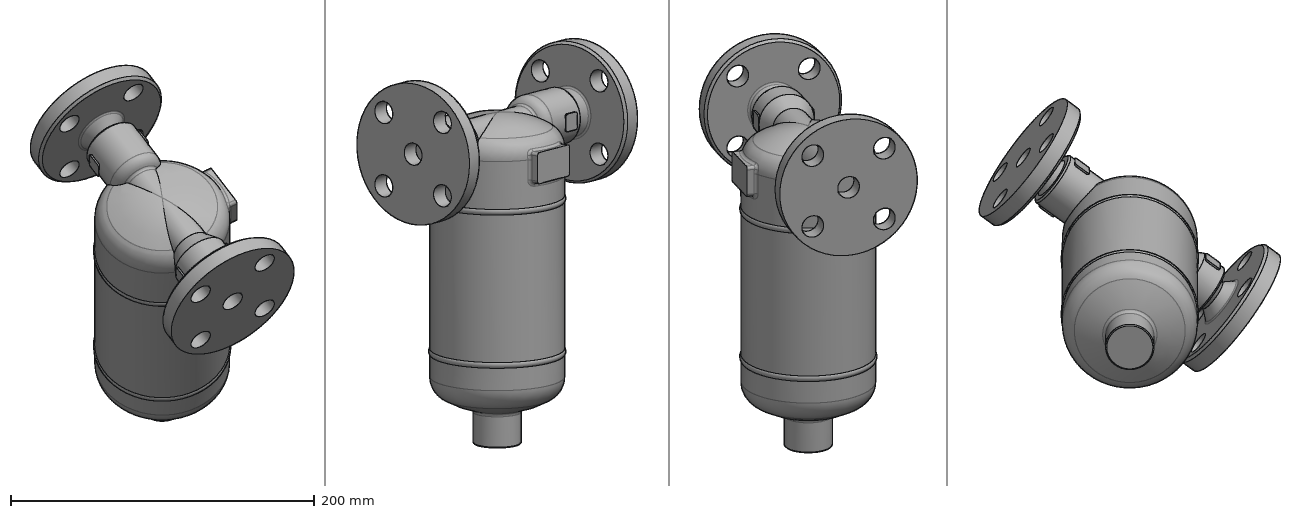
import cadquery as cq
import math

total_height = 257.5
vessel_radius = 44.5
crown_radius = 73.5
knuckle_radius = 16.0
lower_tangent_z = 45.0

bead_heights = (165.3, 62.0)
bead_width = 3.9
bead_rise = 0.8

nozzle_radius = 16.0
nozzle_root_fillet = 2.5
nozzle_edge_chamfer = 0.8

face_to_face = 178.0
flange_diameter = 95.0
flange_radius = flange_diameter / 2
flange_thickness = 12.4
flange_chamfer = 1.8
bolt_offset = 24.7
hole_diameter = 15.0

pipe_axis_z = total_height - flange_radius
pipe_radius = 13.1
socket_radius = 19.0
socket_end = 65.5
socket_end_chamfer = 1.3
inlet_round_start = 34.8
inlet_round_radius = 8.8
inlet_round_end_radius = 14.5
outlet_cone_start = 36.3
outlet_cone_end = 47.6

neck_distance = 69.3
neck_radius = 10.8
neck_bevel = math.tan(math.radians(40))
neck_root_fillet = 2.0

pad_size = 12.0
pad_corner = 2.0
pad_distance = 54.5
pad_face_y = 19.3

plate_width = 34.0
plate_bottom_z = 183.9
plate_top_z = 205.0
plate_face_y = flange_radius
plate_corner = 2.0
plate_root_fillet = 2.5


def revolve_about_x(profile):
    """Revolve a closed (distance, radius) profile about the pipe axis."""
    return profile.revolve(360, (0, 0, 0), (1, 0, 0)).translate((0, 0, pipe_axis_z))


def make_vessel():
    """Cylinder with a torispherical head at each end and the drain nozzle."""
    knuckle_center = vessel_radius - knuckle_radius
    crown_angle = math.asin(knuckle_center / (crown_radius - knuckle_radius))
    crown_center_drop = (crown_radius - knuckle_radius) * math.cos(crown_angle)
    middle_angle = (math.pi / 2 + crown_angle) / 2

    def head_point(center_r, radius, angle, center_rise):
        return center_r + radius * math.sin(angle), center_rise + radius * math.cos(angle)

    knuckle_mid = head_point(knuckle_center, knuckle_radius, middle_angle, 0)
    knuckle_end = head_point(knuckle_center, knuckle_radius, crown_angle, 0)
    crown_mid = head_point(0, crown_radius, crown_angle / 2, -crown_center_drop)
    crown_top = head_point(0, crown_radius, 0, -crown_center_drop)

    upper_tangent_z = pipe_axis_z + pipe_radius - crown_top[1]

    def upper(point):
        return point[0], upper_tangent_z + point[1]

    def lower(point):
        return point[0], lower_tangent_z - point[1]

    profile = (
        cq.Workplane("XZ")
        .moveTo(*lower(crown_top))
        .threePointArc(lower(crown_mid), lower(knuckle_end))
        .threePointArc(lower(knuckle_mid), (vessel_radius, lower_tangent_z))
        .lineTo(vessel_radius, upper_tangent_z)
        .threePointArc(upper(knuckle_mid), upper(knuckle_end))
        .threePointArc(upper(crown_mid), upper(crown_top))
        .close()
    )
    vessel = profile.revolve(360, (0, 0, 0), (0, 1, 0))
    nozzle = cq.Workplane("XY").circle(nozzle_radius).extrude(lower_tangent_z)
    vessel = vessel.union(nozzle)
    head_bottom_z = lower(crown_top)[1]
    joint_zone = cq.selectors.BoxSelector(
        (-nozzle_radius / 2, -nozzle_radius / 2, head_bottom_z),
        (nozzle_radius / 2, nozzle_radius / 2, head_bottom_z + nozzle_root_fillet),
    )
    vessel = vessel.edges(joint_zone).fillet(nozzle_root_fillet)
    return vessel.faces("<Z").chamfer(nozzle_edge_chamfer)


def make_bead(height):
    """Low rounded weld bead around the vessel."""
    inner_radius = vessel_radius - bead_rise
    return (
        cq.Workplane("XZ")
        .moveTo(inner_radius, height - bead_width / 2)
        .lineTo(vessel_radius, height - bead_width / 2)
        .threePointArc((vessel_radius + bead_rise, height), (vessel_radius, height + bead_width / 2))
        .lineTo(inner_radius, height + bead_width / 2)
        .close()
        .revolve(360, (0, 0, 0), (0, 1, 0))
    )


def make_plate():
    """Boss with rounded corners running from the vessel out to a flat face."""
    plate_height = plate_top_z - plate_bottom_z
    return (
        cq.Workplane("XY")
        .box(plate_width, plate_face_y, plate_height, centered=(True, False, False))
        .edges("|Y")
        .fillet(plate_corner)
        .translate((0, 0, plate_bottom_z))
    )


def make_inlet_socket():
    """Socket on the -X side: a round shoulder flows into the pipe."""
    round_turn = math.acos(1 - (socket_radius - inlet_round_end_radius) / inlet_round_radius)
    round_end = inlet_round_start - inlet_round_radius * math.sin(round_turn)
    root_radius = (inlet_round_end_radius - pipe_radius) / (1 - math.cos(round_turn))
    root_end = round_end - root_radius * math.sin(round_turn)
    profile = (
        cq.Workplane("XY")
        .lineTo(-socket_end, 0)
        .lineTo(-socket_end, socket_radius - socket_end_chamfer)
        .lineTo(-socket_end + socket_end_chamfer, socket_radius)
        .lineTo(-inlet_round_start, socket_radius)
        .tangentArcPoint((-round_end, inlet_round_end_radius), relative=False)
        .tangentArcPoint((-root_end, pipe_radius), relative=False)
        .lineTo(0, pipe_radius)
        .close()
    )
    return revolve_about_x(profile)


def make_outlet_socket():
    """Socket on the +X side: the pipe widens through a cone."""
    profile = (
        cq.Workplane("XY")
        .lineTo(0, pipe_radius)
        .lineTo(outlet_cone_start, pipe_radius)
        .lineTo(outlet_cone_end, socket_radius)
        .lineTo(socket_end - socket_end_chamfer, socket_radius)
        .lineTo(socket_end, socket_radius - socket_end_chamfer)
        .lineTo(socket_end, 0)
        .close()
    )
    return revolve_about_x(profile)


def make_flange():
    """Flange on the +X side with its bevelled neck, bolt holes and blind bore."""
    face = face_to_face / 2
    back = face - flange_thickness
    socket_side_radius = neck_radius + (neck_distance - socket_end) * neck_bevel
    flange_side_radius = neck_radius + (back - neck_distance) * neck_bevel
    tangent_length = neck_root_fillet * math.tan((math.pi / 2 - math.atan(neck_bevel)) / 2)
    tangent_along_x = tangent_length * math.cos(math.atan(neck_bevel))
    fillet_start = (back - tangent_along_x, flange_side_radius - tangent_along_x * neck_bevel)
    profile = (
        cq.Workplane("XY")
        .moveTo(socket_end, 0)
        .lineTo(socket_end, socket_side_radius)
        .lineTo(neck_distance, neck_radius)
        .lineTo(*fillet_start)
        .tangentArcPoint((back, flange_side_radius + tangent_length), relative=False)
        .lineTo(back, flange_radius - flange_chamfer)
        .lineTo(back + flange_chamfer, flange_radius)
        .lineTo(face, flange_radius)
        .lineTo(face, 0)
        .close()
    )
    holes = (
        cq.Workplane("YZ", origin=(back, 0, pipe_axis_z))
        .rect(2 * bolt_offset, 2 * bolt_offset, forConstruction=True)
        .vertices()
        .circle(hole_diameter / 2)
        .extrude(flange_thickness)
    )
    bore = (
        cq.Workplane("YZ", origin=(back, 0, pipe_axis_z))
        .circle(hole_diameter / 2)
        .extrude(flange_thickness)
    )
    return revolve_about_x(profile).cut(holes).cut(bore)


def make_socket_pads(side):
    """Bar across one socket, showing as a flat square pad front and back."""
    return (
        cq.Workplane("XY")
        .box(pad_size, 2 * pad_face_y, pad_size)
        .edges("|Y")
        .fillet(pad_corner)
        .translate((side * pad_distance, 0, pipe_axis_z))
    )


plate_joint_zone = cq.selectors.BoxSelector(
    (-plate_width, vessel_radius / 2, plate_bottom_z - plate_corner),
    (plate_width, (vessel_radius + plate_face_y) / 2, plate_top_z + plate_corner),
)
result = make_vessel().union(make_plate())
result = result.edges(plate_joint_zone).edges("not |Y").fillet(plate_root_fillet)

for bead_height in bead_heights:
    result = result.union(make_bead(bead_height))

flange = make_flange()
result = result.union(make_inlet_socket()).union(make_outlet_socket())
result = result.union(flange).union(flange.mirror("YZ"))
for pad_side in (-1, 1):
    result = result.union(make_socket_pads(pad_side))